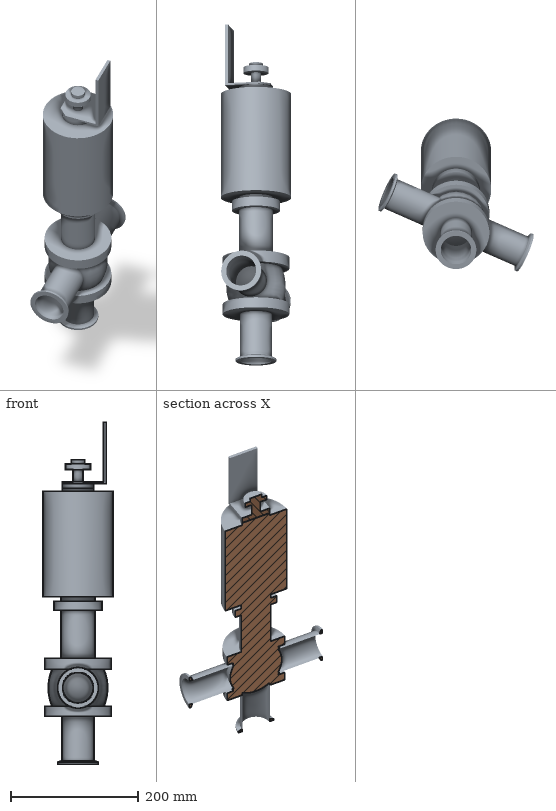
import cadquery as cq

PIPE_DIAMETER = 50.5
BORE_DIAMETER = 48.0
FERRULE_DIAMETER = 64.0
FERRULE_RIM = 3.0
FERRULE_LENGTH = 6.0
PORT_REACH = 120.0

LOWER_FLANGE_BOTTOM = 75.5
LOWER_FLANGE_TOP = 91.5
UPPER_FLANGE_BOTTOM = 149.0
UPPER_FLANGE_TOP = 167.0
FLANGE_DIAMETER = 105.0
CHAMBER_END_DIAMETER = 82.0
CHAMBER_WAIST_DIAMETER = 93.5
PORT_HEIGHT = (LOWER_FLANGE_TOP + UPPER_FLANGE_BOTTOM) / 2

NECK_DIAMETER = 54.0
COLLAR_DIAMETER = 76.0
COLLAR_BOTTOM = 242.0
COLLAR_TOP = 256.5
ACTUATOR_DIAMETER = 111.0
ACTUATOR_BOTTOM = 263.0
ACTUATOR_TOP = 429.0

BOSS_DIAMETER = 50.0
BOSS_SPLIT = 434.0
BRACKET_BOTTOM = 440.5
BRACKET_TOP = 444.0
BRACKET_RIGHT = 44.5
BRACKET_WIDTH = BOSS_DIAMETER
BRACKET_CHAMFER = 14.0
UPRIGHT_THICKNESS = 5.0
UPRIGHT_TOP = 538.0
STEM_DIAMETER = 16.0
KNOB_DIAMETER = 40.0
KNOB_BOTTOM = 463.0
KNOB_TOP = 472.5
CAP_DIAMETER = 21.5
CAP_TOP = 478.5


def disc(diameter, bottom, top):
    """Cylinder on the Z axis between two heights."""
    return cq.Workplane("XY").workplane(offset=bottom).circle(diameter / 2).extrude(top - bottom)


def ferruled_pipe(length):
    """Solid pipe rising from a clamp ferrule whose face is at z = 0."""
    pipe_radius = PIPE_DIAMETER / 2
    rim_radius = FERRULE_DIAMETER / 2
    return (
        cq.Workplane("XZ")
        .moveTo(0, 0)
        .lineTo(rim_radius, 0)
        .lineTo(rim_radius, FERRULE_RIM)
        .lineTo(pipe_radius, FERRULE_LENGTH)
        .lineTo(pipe_radius, length)
        .lineTo(0, length)
        .close()
        .revolve(360, (0, 0, 0), (0, 1, 0))
    )


def port_bore(length):
    """Bore from z = 0 that ends on the rounded core centred at z = length."""
    core = cq.Workplane("XY").sphere(CHAMBER_WAIST_DIAMETER / 2).translate((0, 0, length))
    return disc(BORE_DIAMETER, 0, length).cut(core)


def to_side_port(shape, turn):
    """Lay a port shape along Y with its face outward, then turn it about Z."""
    laid = shape.rotate((0, 0, 0), (1, 0, 0), -90).translate((0, -PORT_REACH, PORT_HEIGHT))
    return laid.rotate((0, 0, 0), (0, 0, 1), turn)


def make_chamber():
    """Barrel-shaped chamber between the two flanges."""
    end_radius = CHAMBER_END_DIAMETER / 2
    return (
        cq.Workplane("XZ")
        .moveTo(0, LOWER_FLANGE_TOP)
        .lineTo(end_radius, LOWER_FLANGE_TOP)
        .threePointArc(
            (CHAMBER_WAIST_DIAMETER / 2, PORT_HEIGHT),
            (end_radius, UPPER_FLANGE_BOTTOM),
        )
        .lineTo(0, UPPER_FLANGE_BOTTOM)
        .close()
        .revolve(360, (0, 0, 0), (0, 1, 0))
    )


def make_valve():
    """Chamber with three ports, neck, actuator and the lower part of its boss."""
    valve = (
        make_chamber()
        .union(disc(FLANGE_DIAMETER, LOWER_FLANGE_BOTTOM, LOWER_FLANGE_TOP))
        .union(disc(FLANGE_DIAMETER, UPPER_FLANGE_BOTTOM, UPPER_FLANGE_TOP))
        .union(disc(NECK_DIAMETER, UPPER_FLANGE_TOP, ACTUATOR_BOTTOM))
        .union(disc(COLLAR_DIAMETER, COLLAR_BOTTOM, COLLAR_TOP))
        .union(disc(ACTUATOR_DIAMETER, ACTUATOR_BOTTOM, ACTUATOR_TOP))
        .union(disc(BOSS_DIAMETER, ACTUATOR_TOP, BOSS_SPLIT))
        .union(ferruled_pipe(PORT_HEIGHT))
    )
    side_turns = (0, 180)
    for turn in side_turns:
        valve = valve.union(to_side_port(ferruled_pipe(PORT_REACH), turn))
    for turn in side_turns:
        valve = valve.cut(to_side_port(port_bore(PORT_REACH), turn))
    return valve.cut(port_bore(PORT_HEIGHT))


def make_bracket():
    """L-shaped plate with chamfered corners at the free end of its base."""
    left = -BOSS_DIAMETER / 2
    half_width = BRACKET_WIDTH / 2
    base = (
        cq.Workplane("XY")
        .workplane(offset=BRACKET_BOTTOM)
        .moveTo(BRACKET_RIGHT, -half_width)
        .lineTo(BRACKET_RIGHT, half_width)
        .lineTo(left + BRACKET_CHAMFER, half_width)
        .lineTo(left, half_width - BRACKET_CHAMFER)
        .lineTo(left, BRACKET_CHAMFER - half_width)
        .lineTo(left + BRACKET_CHAMFER, -half_width)
        .close()
        .extrude(BRACKET_TOP - BRACKET_BOTTOM)
    )
    upright = (
        cq.Workplane("XY")
        .workplane(offset=BRACKET_BOTTOM)
        .center(BRACKET_RIGHT - UPRIGHT_THICKNESS / 2, 0)
        .rect(UPRIGHT_THICKNESS, BRACKET_WIDTH)
        .extrude(UPRIGHT_TOP - BRACKET_BOTTOM)
    )
    return base.union(upright)


def make_indicator():
    """Upper boss, bracket, stem and capped knob."""
    return (
        disc(BOSS_DIAMETER, BOSS_SPLIT, BRACKET_BOTTOM)
        .union(make_bracket())
        .union(disc(STEM_DIAMETER, BRACKET_TOP, KNOB_BOTTOM))
        .union(disc(KNOB_DIAMETER, KNOB_BOTTOM, KNOB_TOP))
        .union(disc(CAP_DIAMETER, KNOB_TOP, CAP_TOP))
    )


valve = make_valve()
indicator = make_indicator()
result = cq.Compound.makeCompound([valve.val(), indicator.val()])